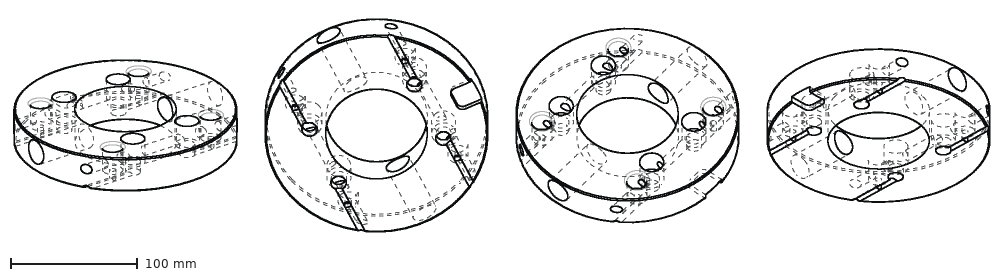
import cadquery as cq
import math

outer_diameter = 176.0
thickness = 29.0
bore_diameter = 80.0
rim_chamfer = 1.0

cross_hole_height = 17.0
large_cross_diameter = 20.0
small_cross_diameter = 8.0

counterbore_depth = 20.0

square_offset = 48.0
square_hole_diameter = 5.0
square_bore_diameter = 16.0
mouth_radius = 2.0

bolt_circle_radius = 53.0
bolt_angle = 30.0
bolt_hole_diameter = 12.0
bolt_bore_diameter = 19.0

groove_diameter = 5.0

slot_width = 20.0
slot_height = 5.0
slot_length = 20.0
slot_corner_radius = 5.0

outer_radius = outer_diameter / 2
square_points = [(sx * square_offset, sy * square_offset) for sx in (-1, 1) for sy in (-1, 1)]
bolt_x = bolt_circle_radius * math.cos(math.radians(bolt_angle))
bolt_y = bolt_circle_radius * math.sin(math.radians(bolt_angle))
bolt_points = [(sx * bolt_x, sy * bolt_y) for sx in (-1, 1) for sy in (-1, 1)]


def ring_body():
    disc = cq.Workplane("XY").circle(outer_radius).extrude(thickness)
    disc = disc.edges().chamfer(rim_chamfer)
    bore = cq.Workplane("XY").circle(bore_diameter / 2).extrude(thickness)
    return disc.cut(bore)


def cylinder_along_y(x, z, diameter, y_start, y_end):
    plane = cq.Plane(origin=(x, y_start, z), xDir=(0, 0, 1), normal=(0, 1, 0))
    return cq.Workplane(plane).circle(diameter / 2).extrude(y_end - y_start)


def counterbores(body, points, hole_diameter, bore_width):
    top = body.faces(">Z").workplane(origin=(0, 0, thickness)).pushPoints(points)
    return top.cboreHole(hole_diameter, bore_width, counterbore_depth)


def rounded_mouth():
    """Flared plug that rounds the top edge of a square-pattern counterbore."""
    bore_radius = square_bore_diameter / 2
    arc_middle = mouth_radius * (1 - math.sqrt(0.5))
    profile = (
        cq.Workplane("XZ")
        .moveTo(0, thickness - mouth_radius)
        .lineTo(bore_radius, thickness - mouth_radius)
        .threePointArc(
            (bore_radius + arc_middle, thickness - arc_middle),
            (bore_radius + mouth_radius, thickness),
        )
        .lineTo(0, thickness)
        .close()
    )
    return profile.revolve(360, (0, 0, 0), (0, 1, 0))


def key_slot():
    overhang = slot_corner_radius
    block_length = slot_length + overhang
    block = cq.Workplane("XY").box(block_length, slot_width, slot_height, centered=(False, True, False))
    block = block.edges("|Z and >X").fillet(slot_corner_radius)
    return block.translate((-outer_radius - overhang, 0, 0))


result = ring_body()
result = counterbores(result, square_points, square_hole_diameter, square_bore_diameter)
result = counterbores(result, bolt_points, bolt_hole_diameter, bolt_bore_diameter)

mouth = rounded_mouth()
for x, y in square_points:
    result = result.cut(mouth.translate((x, y, 0)))

for x in (-square_offset, square_offset):
    result = result.cut(cylinder_along_y(x, 0, groove_diameter, -outer_radius, -bolt_y))
    result = result.cut(cylinder_along_y(x, 0, groove_diameter, bolt_y, outer_radius))

cross_holes = [
    (-square_offset, small_cross_diameter),
    (0, large_cross_diameter),
    (square_offset, small_cross_diameter),
]
for x, diameter in cross_holes:
    result = result.cut(cylinder_along_y(x, cross_hole_height, diameter, -outer_radius, outer_radius))

result = result.cut(key_slot())